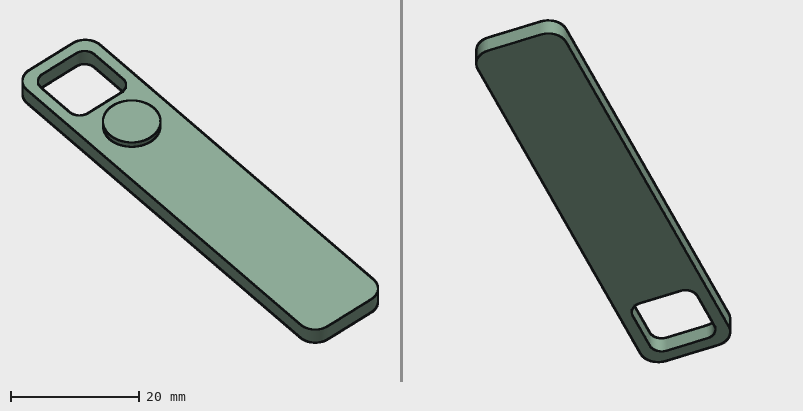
import cadquery as cq

length = 72.0
width = 15.0
plate_thickness = 3.0
corner_radius = 3.0

rim = 2.0
window_size = width - 2 * rim
window_corner_radius = 2.0

badge_diameter = 9.0
total_height = 4.0
badge_height = total_height - plate_thickness
badge_gap = 2.0

window_x = -length / 2 + rim + window_size / 2
badge_x = window_x + window_size / 2 + badge_gap + badge_diameter / 2


def rounded_block(size_x, size_y, height, radius):
    """Block standing on Z = 0 with rounded vertical edges."""
    block = cq.Workplane("XY").box(size_x, size_y, height, centered=(True, True, False))
    return block.edges("|Z").fillet(radius)


plate = rounded_block(length, width, plate_thickness, corner_radius)

window = rounded_block(window_size, window_size, plate_thickness, window_corner_radius)
window = window.translate((window_x, 0, 0))

badge = (
    cq.Workplane("XY", origin=(badge_x, 0, plate_thickness))
    .circle(badge_diameter / 2)
    .extrude(badge_height)
)

result = plate.cut(window).union(badge)